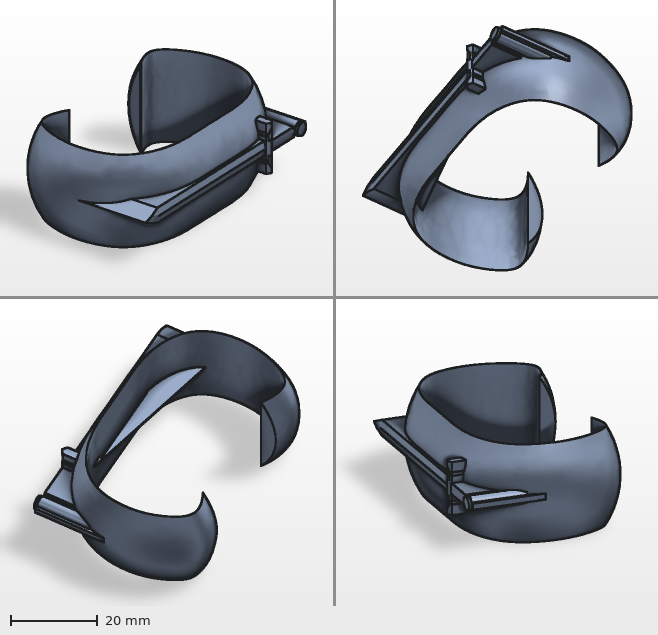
import cadquery as cq

band_height = 24.0
band_length = 61.8
band_bulge = 3.4
inner_reach = band_length / 2 - band_bulge
back_inner_x = 35.7
upper_tip_y = 15.1
lower_tip_y = -13.85
upper_tip_chamfer = 0.4

sword_z = 0.25
blade_thickness = 3.9
blade_edge_x = 40.2
blade_edge_bevel = 0.45
blade_end_x = 39.85
blade_end_y = -30.85
blade_bevel_y = -26.15
blade_tip_x = 20.7

rear_x = 36.75
rear_corner_y = -15.45
rear_bend_x = 30.9
rear_bend_y = -25.0

fin_thickness = 0.25
fin_z = -1.85
fin_corner_x = 26.8
fin_corner_y = -25.9
fin_root_x = 35.3
fin_root_y = 11.7

slot_inner_x = 35.15
slot_bottom_y = -13.0
slot_top_y = 8.65

guard_span = 13.0
guard_y = 16.55
guard_width = 2.2
guard_inner_x = 36.8
guard_shoulder_x = 40.3
guard_point_x = 41.1
guard_waist_x = 40.65
guard_end_length = 1.25
guard_middle_span = 3.9
guard_taper = 1.5
guard_groove_z = 3.5
guard_groove_width = 0.85
guard_groove_depth = 0.2

grip_outer_x = 40.4
grip_thickness = 2.7
grip_inner_x = 36.15
grip_end_y = 26.1
pommel_block_thickness = 1.5
pommel_block_inner_x = 29.35
pommel_block_corner_x = 22.25
pommel_block_top_y = 30.7
pommel_inner_x = 26.6
pommel_y = 28.3
pommel_radius = 1.8
pommel_knob_radius = 1.65


def box(x_range, y_range, z_range):
    """Box given by its limits along each axis."""
    sizes = [high - low for low, high in (x_range, y_range, z_range)]
    corner = (x_range[0], y_range[0], z_range[0])
    return cq.Workplane("XY").box(*sizes, centered=False).translate(corner)


def sword_layer(thickness):
    """Z limits of a layer centred on the sword's own mid plane."""
    return (sword_z - thickness / 2, sword_z + thickness / 2)


def slab(outline, z_range):
    """Flat plate with the given XY outline between two Z limits."""
    low, high = z_range
    return cq.Workplane("XY", origin=(0, 0, low)).polyline(outline).close().extrude(high - low)


def make_band():
    """Sweep a bulged section along the C-shaped inner wall and trim both tips square to Y."""
    upper_half = [
        (34.6, 16.05),
        (28.8, 24.7),
        (19.05, inner_reach),
        (9.0, 25.6),
        (3.5, 21.0),
        (4.2, 16.7),
        (6.7, 12.65),
    ]
    lower_half = [(x, -y) for x, y in reversed(upper_half)]
    path = cq.Workplane("XY").spline(lower_half + [(back_inner_x, 0)] + upper_half)

    start = path.val().positionAt(0)
    tangent = path.val().tangentAt(0)
    outward = tangent.cross(cq.Vector(0, 0, 1))
    half_height = band_height / 2
    band = (
        cq.Workplane(cq.Plane(origin=start, xDir=outward, normal=tangent))
        .moveTo(0, -half_height)
        .threePointArc((band_bulge, 0), (0, half_height))
        .close()
        .sweep(path)
    )
    mouth = box((-band_bulge, back_inner_x / 2), (lower_tip_y, upper_tip_y), (-band_height, band_height))
    band = band.cut(mouth)
    face_margin = 0.05
    upper_tip = cq.selectors.BoxSelector(
        (-band_bulge, upper_tip_y - face_margin, -band_height),
        (back_inner_x / 2, upper_tip_y + face_margin, band_height),
    )
    return band.edges(upper_tip).chamfer(upper_tip_chamfer)


def make_blade():
    """Tapering blade: bevelled to a thin edge at its -Y end and along its +X side."""
    low, high = sword_layer(blade_thickness)
    outline = [
        (blade_tip_x, blade_end_y),
        (blade_end_x, blade_end_y),
        (blade_edge_x, blade_bevel_y),
        (blade_edge_x, guard_y),
        (rear_x, guard_y),
        (rear_x, rear_corner_y),
        (rear_bend_x, rear_bend_y),
    ]
    plate = slab(outline, (low, high))
    end_wedge = (
        cq.Workplane("YZ")
        .polyline([
            (blade_end_y, sword_z),
            (blade_bevel_y, high),
            (guard_y, high),
            (guard_y, low),
            (blade_bevel_y, low),
        ])
        .close()
        .extrude(blade_edge_x)
    )
    side_wedge = (
        cq.Workplane("XZ", origin=(0, guard_y, 0))
        .polyline([
            (0, low),
            (blade_edge_x - blade_edge_bevel, low),
            (blade_edge_x, sword_z),
            (blade_edge_x - blade_edge_bevel, high),
            (0, high),
        ])
        .close()
        .extrude(guard_y - blade_end_y)
    )
    return plate.intersect(end_wedge).intersect(side_wedge)


def make_fin():
    """Thin triangle reaching into the band, parted from its inner face by a slot."""
    z_range = (fin_z, fin_z + fin_thickness)
    outline = [
        (fin_corner_x, fin_corner_y),
        (rear_bend_x, rear_bend_y),
        (rear_x, rear_corner_y),
        (rear_x, fin_root_y),
        (fin_root_x, fin_root_y),
    ]
    slot = box((slot_inner_x, rear_x), (slot_bottom_y, slot_top_y), z_range)
    return slab(outline, z_range).cut(slot)


def make_guard():
    """Five-sided bar along Z whose point is drawn in between its ends and its middle."""
    half_width = guard_width / 2
    outline = [
        (guard_inner_x, guard_y + half_width),
        (guard_shoulder_x, guard_y + half_width),
        (guard_point_x, guard_y),
        (guard_shoulder_x, guard_y - half_width),
        (guard_inner_x, guard_y - half_width),
    ]
    bar = slab(outline, sword_layer(guard_span))
    waist_start = guard_middle_span / 2
    waist_end = guard_span / 2 - guard_end_length
    for side in (-1, 1):
        waist = (
            cq.Workplane("XZ", origin=(0, guard_y + guard_width, sword_z))
            .polyline([
                (guard_point_x, side * waist_start),
                (guard_waist_x, side * waist_start),
                (guard_waist_x, side * (waist_end - guard_taper)),
                (guard_point_x, side * waist_end),
            ])
            .close()
            .extrude(2 * guard_width)
        )
        bar = bar.cut(waist)
        groove_middle = sword_z + side * guard_groove_z
        groove_z = (groove_middle - guard_groove_width / 2, groove_middle + guard_groove_width / 2)
        for face_y in (guard_y - half_width, guard_y + half_width):
            groove_y = (face_y - guard_groove_depth, face_y + guard_groove_depth)
            bar = bar.cut(box((guard_inner_x, guard_shoulder_x), groove_y, groove_z))
    return bar


def make_handle():
    """Flat grip, thinner pommel block, and a round pommel along X with an end knob."""
    grip_outline = [
        (grip_inner_x, guard_y),
        (grip_outer_x, guard_y),
        (grip_outer_x, grip_end_y),
        (pommel_block_inner_x, grip_end_y),
    ]
    block_outline = [
        (pommel_block_inner_x, grip_end_y),
        (grip_outer_x, grip_end_y),
        (grip_outer_x, pommel_block_top_y),
        (pommel_block_corner_x, pommel_block_top_y),
    ]
    grip = slab(grip_outline, sword_layer(grip_thickness))
    block = slab(block_outline, sword_layer(pommel_block_thickness))
    axis = cq.Workplane("YZ", origin=(pommel_inner_x, pommel_y, sword_z))
    pommel = axis.circle(pommel_radius).extrude(grip_outer_x - pommel_inner_x)
    knob = axis.circle(pommel_knob_radius).extrude(guard_point_x - pommel_inner_x)
    return grip.union(block).union(pommel).union(knob)


result = make_band().union(make_blade()).union(make_fin()).union(make_guard()).union(make_handle())